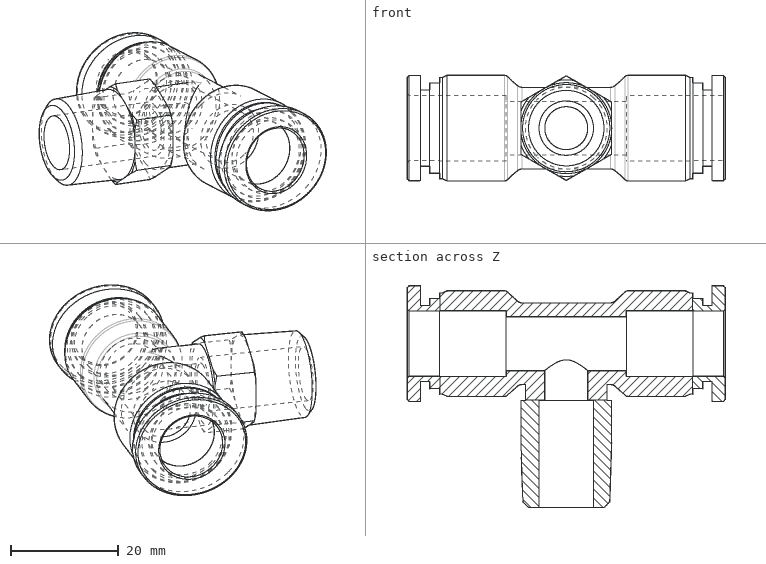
import cadquery as cq
import math


half_length = 29.6
pipe_diameter = 15.2
pipe_bore = 10.0

barrel_diameter = 19.7
barrel_mouth_diameter = 18.9
barrel_mouth_x = half_length - 6.05
mouth_rim_width = 0.55
mouth_chamfer_length = 0.9
cone_outer_x = 11.2
cone_inner_x = 8.7
cone_outer_fillet = 0.8
cone_inner_fillet = 1.2
tube_socket_diameter = 12.2
tube_stop_x = cone_outer_x

flange_height_y = 21.55
flange_height_z = 19.6
flange_thickness = 2.5
flange_chamfer = 0.35
collar_diameter = 14.2
collar_bore = 12.15
collar_bore_chamfer = 0.35
guide_diameter = 16.9
guide_length = 1.85

branch_end_y = -10.55
branch_bore = 8.0
stem_bore = 10.1

hex_across_flats = 16.9
hex_length = 7.95
hex_face_diameter = 18.0
hex_chamfer_length = 0.35
hex_across_corners = hex_across_flats / math.cos(math.pi / 6)

stem_tip_y = -30.5
thread_root_diameter = 16.95
thread_taper = 1 / 16
thread_chamfer = 1.05
thread_length = branch_end_y - hex_length - stem_tip_y
thread_tip_diameter = thread_root_diameter - thread_taper * thread_length

ENDS = (-1, 1)


def rod_x(diameter, start, end):
    """Cylinder on the X axis from start to end."""
    return cq.Workplane("YZ", origin=(start, 0, 0)).circle(diameter / 2).extrude(end - start)


def rod_y(diameter, start, end):
    """Cylinder on the Y axis reaching from start down to end, towards -Y."""
    return cq.Workplane("XZ", origin=(0, start, 0)).circle(diameter / 2).extrude(start - end)


def at_end(body, end):
    """Place a body made for the +X end at the +X or the -X end."""
    return body if end > 0 else body.mirror("YZ")


def centred_near(x):
    """Selector for the rings around the X axis whose centre lies close to x."""
    reach = 0.1
    return cq.selectors.BoxSelector((x - reach, -reach, -reach), (x + reach, reach, reach))


def make_run_half():
    """Solid +X half of the run: pipe, cone with rounded ends, and barrel."""
    rim_end_x = barrel_mouth_x - mouth_rim_width
    half = (
        cq.Workplane("XY")
        .moveTo(0, 0)
        .lineTo(0, pipe_diameter / 2)
        .lineTo(cone_inner_x, pipe_diameter / 2)
        .lineTo(cone_outer_x, barrel_diameter / 2)
        .lineTo(rim_end_x - mouth_chamfer_length, barrel_diameter / 2)
        .lineTo(rim_end_x, barrel_mouth_diameter / 2)
        .lineTo(barrel_mouth_x, barrel_mouth_diameter / 2)
        .lineTo(barrel_mouth_x, 0)
        .close()
        .revolve(360, (0, 0, 0), (1, 0, 0))
    )
    half = half.edges(centred_near(cone_outer_x)).fillet(cone_outer_fillet)
    return half.edges(centred_near(cone_inner_x)).fillet(cone_inner_fillet)


def make_housing():
    """Tee housing with a stepped bore through the run and a bore through the branch."""
    housing = rod_y(pipe_diameter, 0, branch_end_y)
    for end in ENDS:
        housing = housing.union(at_end(make_run_half(), end))
    housing = housing.cut(rod_x(pipe_bore, -half_length, half_length))
    for end in ENDS:
        socket = rod_x(tube_socket_diameter, tube_stop_x, half_length)
        housing = housing.cut(at_end(socket, end))
    return housing.cut(rod_y(branch_bore, 0, branch_end_y))


def make_collar():
    """Release collar for the +X end: flange, neck and guide ring against the barrel mouth."""
    flange_x = half_length - flange_thickness
    flange = (
        cq.Workplane("YZ", origin=(flange_x, 0, 0))
        .ellipse(flange_height_y / 2, flange_height_z / 2)
        .extrude(flange_thickness)
        .faces(">X")
        .chamfer(flange_chamfer)
    )
    neck = rod_x(collar_diameter, barrel_mouth_x, flange_x)
    guide = rod_x(guide_diameter, barrel_mouth_x, barrel_mouth_x + guide_length)
    bore = rod_x(collar_bore, barrel_mouth_x, half_length).union(
        cq.Workplane("YZ", origin=(half_length, 0, 0))
        .circle(collar_bore / 2 + collar_bore_chamfer)
        .workplane(offset=-collar_bore_chamfer)
        .circle(collar_bore / 2)
        .loft()
    )
    return flange.union(neck).union(guide).cut(bore)


def make_hexagon():
    """Hexagon of the stem, its corners bevelled at both ends."""
    prism = (
        cq.Workplane("XZ", origin=(0, branch_end_y, 0))
        .polygon(6, hex_across_corners)
        .extrude(hex_length)
        .rotate((0, 0, 0), (0, 1, 0), 30)
    )
    hex_end_y = branch_end_y - hex_length
    bevel_envelope = (
        cq.Workplane("XY")
        .moveTo(0, branch_end_y)
        .lineTo(hex_face_diameter / 2, branch_end_y)
        .lineTo(hex_across_corners / 2, branch_end_y - hex_chamfer_length)
        .lineTo(hex_across_corners / 2, hex_end_y + hex_chamfer_length)
        .lineTo(hex_face_diameter / 2, hex_end_y)
        .lineTo(0, hex_end_y)
        .close()
        .revolve(360, (0, 0, 0), (0, 1, 0))
    )
    return prism.intersect(bevel_envelope)


def make_thread():
    """Tapered thread blank with a chamfered tip."""
    thread_start_y = branch_end_y - hex_length
    return (
        cq.Workplane("XY")
        .moveTo(0, thread_start_y)
        .lineTo(thread_root_diameter / 2, thread_start_y)
        .lineTo(thread_tip_diameter / 2, stem_tip_y)
        .lineTo(0, stem_tip_y)
        .close()
        .revolve(360, (0, 0, 0), (0, 1, 0))
        .faces("<Y")
        .chamfer(thread_chamfer)
    )


def make_stem():
    """Threaded stem with its hexagon, bored through."""
    bore = rod_y(stem_bore, branch_end_y, stem_tip_y)
    return make_hexagon().union(make_thread()).cut(bore)


housing = make_housing()
stem = make_stem()
collars = [at_end(make_collar(), end) for end in ENDS]

result = cq.Compound.makeCompound(
    [housing.val(), stem.val(), *[collar.val() for collar in collars]]
)